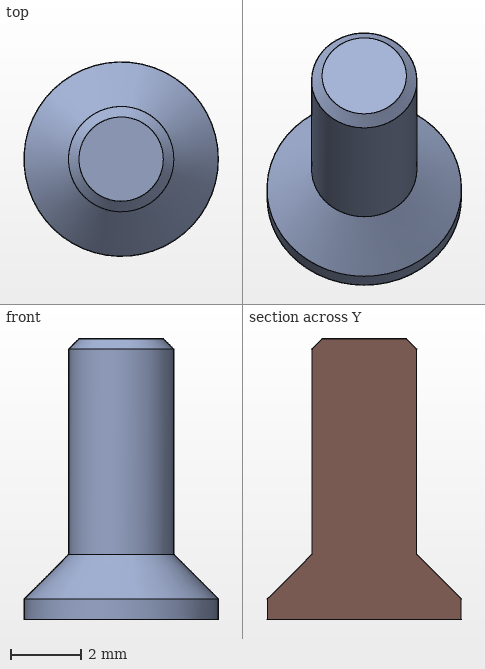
import cadquery as cq

total_length = 8.0
head_diameter = 5.54
shank_diameter = 3.0
head_rim_height = 0.59
tip_chamfer = 0.3

head_radius = head_diameter / 2
shank_radius = shank_diameter / 2
cone_height = head_radius - shank_radius
head_height = head_rim_height + cone_height


def make_head():
    """Flat countersunk head: a cylindrical rim below a 45 degree cone."""
    half_profile = (
        cq.Workplane("XZ")
        .lineTo(head_radius, 0)
        .lineTo(head_radius, head_rim_height)
        .lineTo(shank_radius, head_height)
        .lineTo(0, head_height)
        .close()
    )
    return half_profile.revolve(360, (0, 0, 0), (0, 1, 0))


def make_shank():
    """Plain cylindrical shank rising from the head, chamfered at its tip."""
    shank_length = total_length - head_height
    shank = cq.Workplane("XY", origin=(0, 0, head_height)).circle(shank_radius).extrude(shank_length)
    return shank.faces(">Z").chamfer(tip_chamfer)


result = make_head().union(make_shank())